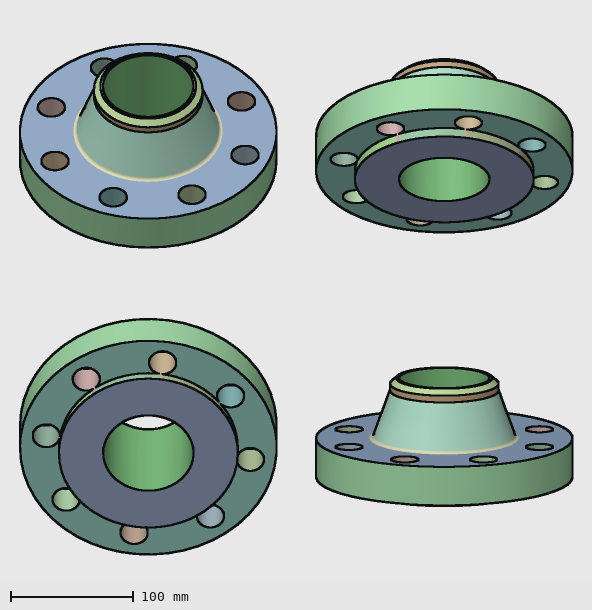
import cadquery as cq

flange_diameter = 209.5
flange_thickness = 32.3
total_height = 90.5

face_diameter = 146.0
face_height = 8.0

bolt_circle_diameter = 168.0
bolt_hole_diameter = 22.2
bolt_hole_count = 8

hub_base_diameter = 117.3
hub_fillet_radius = 3.1
weld_end_diameter = 88.8
weld_end_height = 10.3
bevel_height = 4.6
bevel_tip_diameter = 78.1
bore_diameter = 73.7

flange_bottom = face_height
flange_top = flange_bottom + flange_thickness
weld_end_bottom = total_height - weld_end_height
bevel_bottom = total_height - bevel_height

profile = (
    cq.Workplane("XZ")
    .moveTo(bore_diameter / 2, 0)
    .lineTo(face_diameter / 2, 0)
    .lineTo(face_diameter / 2, flange_bottom)
    .lineTo(flange_diameter / 2, flange_bottom)
    .lineTo(flange_diameter / 2, flange_top)
    .lineTo(hub_base_diameter / 2, flange_top)
    .lineTo(weld_end_diameter / 2, weld_end_bottom)
    .lineTo(weld_end_diameter / 2, bevel_bottom)
    .lineTo(bevel_tip_diameter / 2, total_height)
    .lineTo(bore_diameter / 2, total_height)
    .close()
)
body = profile.revolve(360, (0, 0, 0), (0, 1, 0))

hub_cone = body.faces("%CONE").faces("<Z")
body = hub_cone.edges("<Z").fillet(hub_fillet_radius)

bolt_holes = (
    cq.Workplane("XY")
    .polarArray(bolt_circle_diameter / 2, 0, 360, bolt_hole_count)
    .circle(bolt_hole_diameter / 2)
    .extrude(flange_top)
)

result = body.cut(bolt_holes)